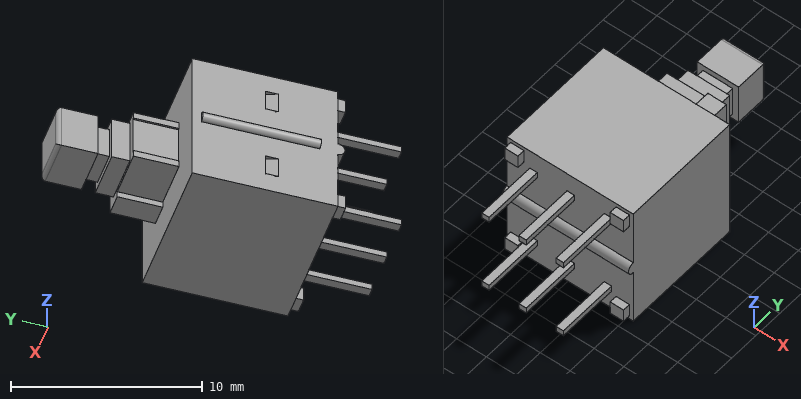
import cadquery as cq


body_width = 8.5
body_length = 8.0
body_height = 8.5

sleeve_width = 4.0
sleeve_length = 2.5
sleeve_height = 4.0
sleeve_step_x = 0.75
sleeve_low_height = 3.25
sleeve_recess_height = 2.4
sleeve_recess_depth = 0.1

button_size = 2.8
collar_length = 1.0
neck_size = 2.0
neck_length = 0.75
head_length = 2.25
head_fillet = 0.25

pin_width = 0.5
pin_height = 0.4
pin_length = 4.0
pin_pitch = 2.5
pin_count = 3
pin_row_spacing = 5.4
pin_row_center_x = 0.05

foot_size = 0.9
foot_length = 0.5
foot_inset = 0.25

front_rib_radius = 0.4
side_rib_radius = 0.3
side_rib_length = 6.5
side_rib_start = 1.0

pocket_length = 0.7
pocket_height = 1.3
pocket_depth = 0.25
pocket_center_y = 3.625
pocket_spacing = 4.8

side_face_x = -body_width / 2
sleeve_end = body_length + sleeve_length
collar_end = sleeve_end + collar_length
neck_end = collar_end + neck_length


def block(x_range, y_range, height, center_z=0.0):
    """Box spanning the given X and Y ranges, centred on center_z."""
    x_size = x_range[1] - x_range[0]
    y_size = y_range[1] - y_range[0]
    corner = (x_range[0], y_range[0], center_z - height / 2)
    return cq.Workplane("XY").box(x_size, y_size, height, centered=False).translate(corner)


def centered_block(width, y_range, height, center_x=0.0, center_z=0.0):
    """Box spanning a Y range, centred on (center_x, center_z)."""
    x_range = (center_x - width / 2, center_x + width / 2)
    return block(x_range, y_range, height, center_z)


def make_housing():
    housing = centered_block(body_width, (0, body_length), body_height)
    ramp_start = pocket_center_y - pocket_length / 2
    ramp_end = pocket_center_y + pocket_length / 2
    ramp = (
        cq.Workplane("XY")
        .moveTo(side_face_x, ramp_start)
        .lineTo(side_face_x + pocket_depth, ramp_end)
        .lineTo(side_face_x, ramp_end)
        .close()
        .extrude(pocket_height / 2, both=True)
    )
    for side in (-1, 1):
        housing = housing.cut(ramp.translate((0, 0, side * pocket_spacing / 2)))
    return housing


def make_sleeve():
    y_range = (body_length, sleeve_end)
    left = -sleeve_width / 2
    tall_slab = block((sleeve_step_x, sleeve_width / 2), y_range, sleeve_height)
    low_block = block((left, sleeve_step_x), y_range, sleeve_low_height)
    recess = block((left, left + sleeve_recess_depth), y_range, sleeve_recess_height)
    return tall_slab.union(low_block).cut(recess)


def make_button():
    collar = centered_block(button_size, (sleeve_end, collar_end), button_size)
    neck = centered_block(neck_size, (collar_end, neck_end), neck_size)
    head = centered_block(button_size, (neck_end, neck_end + head_length), button_size)
    head = head.faces(">Y").edges().fillet(head_fillet)
    return collar.union(neck).union(head)


def add_pins(part):
    for row in (-1, 1):
        for index in range(pin_count):
            x = pin_row_center_x + (index - (pin_count - 1) / 2) * pin_pitch
            z = row * pin_row_spacing / 2
            part = part.union(centered_block(pin_width, (-pin_length, 0), pin_height, x, z))
    return part


def add_feet(part):
    offset_x = body_width / 2 - foot_inset - foot_size / 2
    offset_z = body_height / 2 - foot_inset - foot_size / 2
    for side_x in (-1, 1):
        for side_z in (-1, 1):
            x = side_x * offset_x
            z = side_z * offset_z
            part = part.union(centered_block(foot_size, (-foot_length, 0), foot_size, x, z))
    return part


def add_ribs(part):
    front_rib = (
        cq.Workplane("YZ", origin=(side_face_x, 0, 0))
        .circle(front_rib_radius)
        .extrude(body_width)
    )
    side_rib = (
        cq.Workplane("XZ", origin=(side_face_x, side_rib_start, 0))
        .circle(side_rib_radius)
        .extrude(-side_rib_length)
    )
    return part.union(front_rib).union(side_rib)


switch = make_housing().union(make_sleeve()).union(make_button())
switch = add_pins(switch)
switch = add_feet(switch)
result = add_ribs(switch)